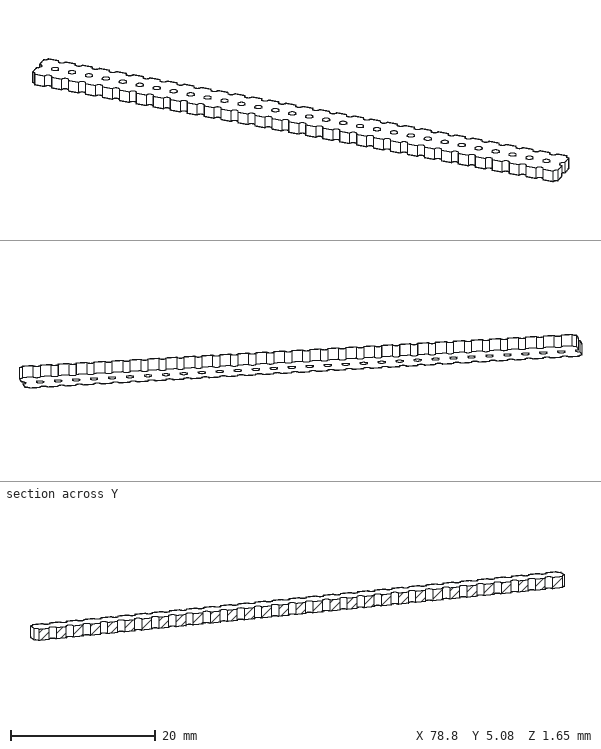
import cadquery as cq

length = 78.75
thickness = 1.65
hole_diameter = 1.0
pitches_along = 31
pitches_across = 2

pitch = length / pitches_along
width = pitches_across * pitch


def make_strip():
    """Plain rectangular strip, centred on the origin in X and Y."""
    return cq.Workplane("XY").box(length, width, thickness, centered=(True, True, False))


def make_hole_grid():
    """Cylinders on every grid point; the outermost ones straddle the strip's edges and corners."""
    return (
        cq.Workplane("XY")
        .rarray(pitch, pitch, pitches_along + 1, pitches_across + 1)
        .circle(hole_diameter / 2)
        .extrude(thickness)
    )


result = make_strip().cut(make_hole_grid())